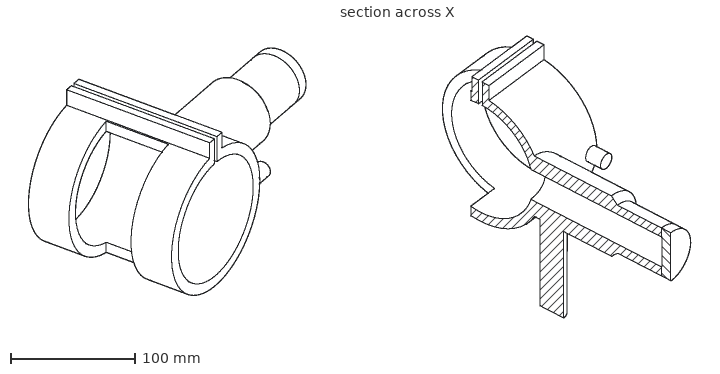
import cadquery as cq


clamp_width = 138.0
ring_outer_radius = 65.0
ring_inner_radius = 55.0

lug_top = 79.5
lug_back = 9.3
lug_front = -8.7
slot_width = 3.7

window_width = 59.9
window_back = -10.0

stud_radius = 7.2
stud_tip = 80.5
stud_offset = clamp_width / 2 - stud_radius

overall_length = 265.0
branch_tip = overall_length - ring_outer_radius
cap_thickness = 9.8
cap_seat = branch_tip - cap_thickness
neck_radius = 25.0
neck_length = 56.0
barrel_radius = 31.3
taper_length = barrel_radius - neck_radius
taper_end = branch_tip - neck_length
barrel_end = taper_end - taper_length
bore_radius = 15.0

stem_radius = 12.5
stem_position = 75.0
stem_bottom = -120.0


def block(width, y_start, y_end, z_start, z_end):
    """Box centred on X = 0, between the given Y and Z limits."""
    body = cq.Workplane("XY").box(width, y_end - y_start, z_end - z_start, centered=(True, False, False))
    return body.translate((0, y_start, z_start))


def rod_along_y(radius, y_start, y_end, x=0):
    """Solid cylinder along +Y, at the height of the ring axis."""
    axis_start = cq.Vector(x, y_start, 0)
    return cq.Workplane(obj=cq.Solid.makeCylinder(radius, y_end - y_start, axis_start, cq.Vector(0, 1, 0)))


def ring_cylinder(radius):
    """Solid cylinder along X, as long as the clamp."""
    return cq.Workplane("YZ").circle(radius).extrude(clamp_width / 2, both=True)


def make_branch():
    """Barrel, taper and neck, starting on the ring axis."""
    profile = [
        (0, 0),
        (barrel_radius, 0),
        (barrel_radius, barrel_end),
        (neck_radius, taper_end),
        (neck_radius, cap_seat),
        (0, cap_seat),
    ]
    return cq.Workplane("XY").polyline(profile).close().revolve(360, (0, 0, 0), (0, 1, 0))


def make_stem():
    """Solid stem from the barrel axis down to its free end."""
    return cq.Workplane("XY").center(0, stem_position).circle(stem_radius).extrude(stem_bottom)


def make_housing():
    """Slotted clamp ring with its studs, branch and stem."""
    body = ring_cylinder(ring_outer_radius)
    body = body.union(block(clamp_width, lug_front, lug_back, 0, lug_top))
    body = body.union(make_branch()).union(make_stem())
    for side in (-1, 1):
        body = body.union(rod_along_y(stud_radius, 0, stud_tip, side * stud_offset))

    body = body.cut(ring_cylinder(ring_inner_radius))
    body = body.cut(block(clamp_width, -slot_width / 2, slot_width / 2, 0, lug_top))
    window = block(window_width, -ring_outer_radius, window_back, -ring_outer_radius, ring_outer_radius)
    body = body.cut(window)
    return body.cut(rod_along_y(bore_radius, 0, cap_seat)).solids()


def make_cap():
    """Disc that closes the outer end of the branch bore."""
    return rod_along_y(neck_radius, cap_seat, branch_tip)


housing = make_housing()
cap = make_cap()

result = cq.Compound.makeCompound([housing.val(), cap.val()])